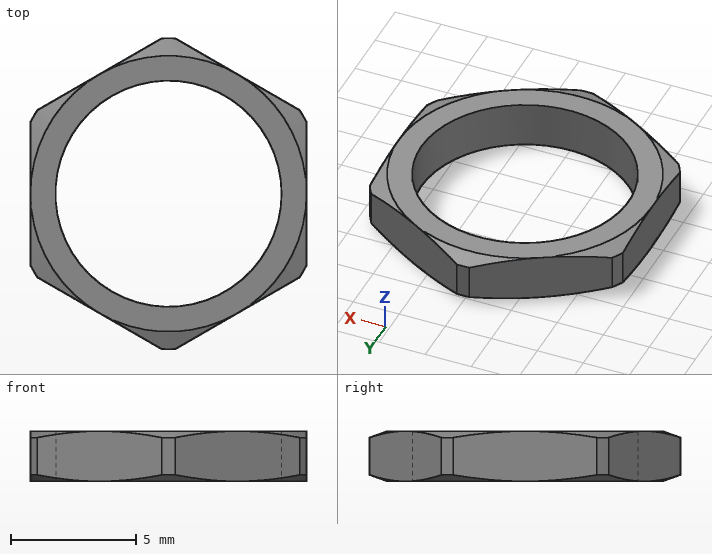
import cadquery as cq
import math

outer_diameter = 12.4
across_flats = 11.0
thickness = 2.0
bore_diameter = 9.0
chamfer_angle = 20.0

outer_radius = outer_diameter / 2
face_radius = across_flats / 2
half_thickness = thickness / 2
chamfer_drop = (outer_radius - face_radius) * math.tan(math.radians(chamfer_angle))
rim_height = half_thickness - chamfer_drop


def hexagon_prism():
    """Full hexagon with sharp corners, turned so that two flats face +X and -X."""
    across_corners = across_flats / math.cos(math.radians(30))
    return (
        cq.Workplane("XY")
        .polygon(6, across_corners)
        .extrude(half_thickness, both=True)
        .rotate((0, 0, 0), (0, 0, 1), 30)
    )


def turned_envelope():
    """Ring with the bore, the cylindrical rim and a conical chamfer at each end."""
    bore_radius = bore_diameter / 2
    profile = [
        (bore_radius, -half_thickness),
        (face_radius, -half_thickness),
        (outer_radius, -rim_height),
        (outer_radius, rim_height),
        (face_radius, half_thickness),
        (bore_radius, half_thickness),
    ]
    return cq.Workplane("XZ").polyline(profile).close().revolve(360, (0, 0), (0, 1))


result = hexagon_prism().intersect(turned_envelope())